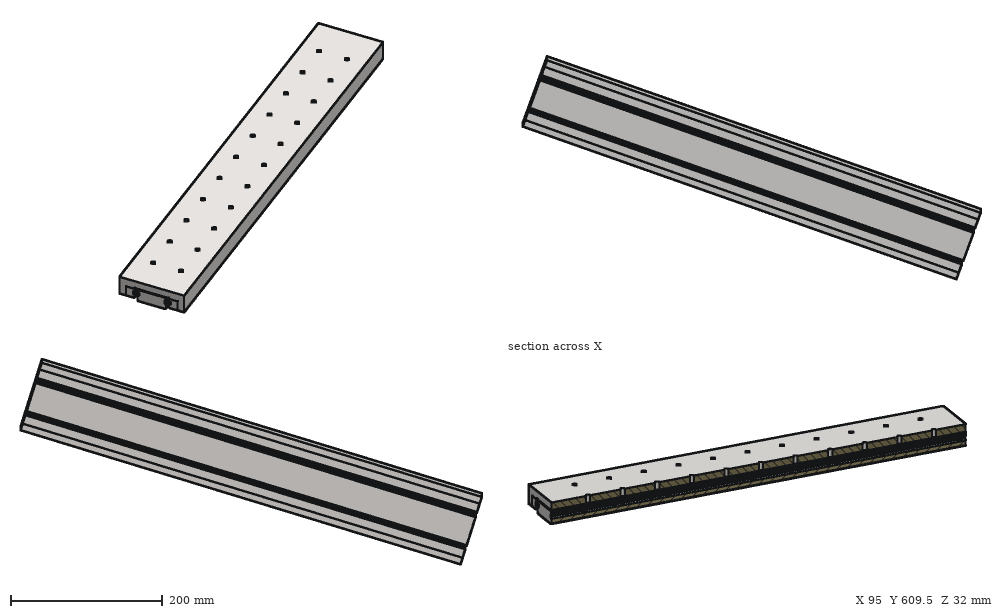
import cadquery as cq

length = 609.5
carriage_width = 95.0
total_height = 32.0

rail_width = 42.0
rail_height = 19.0
rail_chamfer = 1.0

ground_clearance = 3.5
channel_width = 50.0
channel_top = 20.0

seat_width = 76.0
strip_outer_x = seat_width / 2
strip_inner_x = channel_width / 2
strip_top = 19.0
strip_chamfer = 1.0

groove_z = 11.5
groove_half_height = 3.5
groove_floor_half_height = 1.0
groove_depth = groove_half_height - groove_floor_half_height

hole_diameter = 5.35
hole_rows = 11
hole_span = 508.5
hole_row_pitch = hole_span / (hole_rows - 1)
hole_column_pitch = 41.0
last_hole_to_back = 54.0


def extrude_along_y(points):
    """Extrude an XZ outline over the full length, centred on Y = 0."""
    return cq.Workplane("XZ").polyline(points).close().extrude(length / 2, both=True)


def mirror_points(right_side):
    """Close an outline given for +X, bottom to top, with its mirror image."""
    return right_side + [(-x, z) for x, z in reversed(right_side)]


def make_rail():
    side = rail_width / 2
    right_side = [
        (side - rail_chamfer, 0),
        (side, rail_chamfer),
        (side, groove_z - groove_half_height),
        (side - groove_depth, groove_z - groove_floor_half_height),
        (side - groove_depth, groove_z + groove_floor_half_height),
        (side, groove_z + groove_half_height),
        (side, rail_height - rail_chamfer),
        (side - rail_chamfer, rail_height),
    ]
    return extrude_along_y(mirror_points(right_side))


def make_carriage():
    side = carriage_width / 2
    outer_right = [(side, ground_clearance), (side, total_height)]
    inner_right = [
        (strip_outer_x, ground_clearance),
        (strip_outer_x, strip_top),
        (strip_inner_x, strip_top),
        (strip_inner_x, channel_top),
    ]
    outline = mirror_points(outer_right) + mirror_points(inner_right)[::-1]
    body = extrude_along_y(outline)

    last_row_y = length / 2 - last_hole_to_back
    middle_row_y = last_row_y - hole_span / 2
    holes = (
        cq.Workplane("XY", origin=(0, middle_row_y, channel_top))
        .rarray(hole_column_pitch, hole_row_pitch, 2, hole_rows)
        .circle(hole_diameter / 2)
        .extrude(total_height - channel_top)
    )
    return body.cut(holes)


def make_strip(side):
    """Bearing strip on the +X side (side = 1) or the -X side (side = -1)."""
    right_outline = [
        (strip_outer_x, ground_clearance),
        (strip_outer_x, strip_top),
        (strip_inner_x, strip_top),
        (strip_inner_x, groove_z + groove_half_height),
        (strip_inner_x + groove_depth, groove_z + groove_floor_half_height),
        (strip_inner_x + groove_depth, groove_z - groove_floor_half_height),
        (strip_inner_x, groove_z - groove_half_height),
        (strip_inner_x, ground_clearance + strip_chamfer),
        (strip_inner_x + strip_chamfer, ground_clearance),
    ]
    outline = [(side * x, z) for x, z in right_outline]
    return extrude_along_y(outline)


rail = make_rail()
carriage = make_carriage()
strips = [make_strip(side) for side in (-1, 1)]

result = cq.Compound.makeCompound(
    [rail.val(), carriage.val(), *[strip.val() for strip in strips]]
)